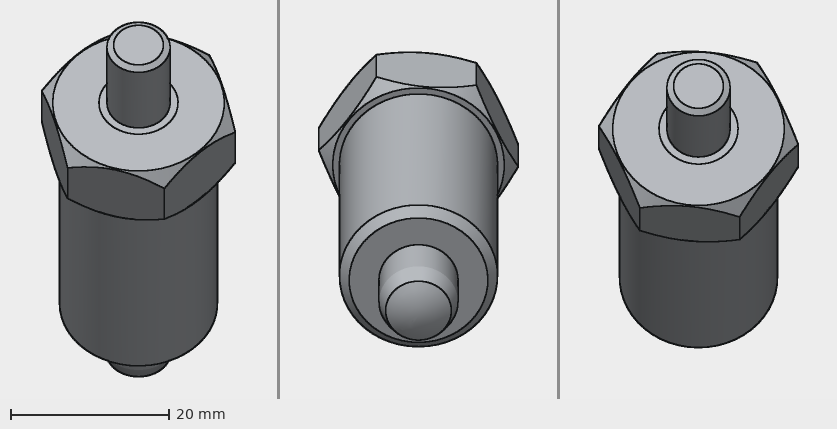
import cadquery as cq
import math

total_length = 65.0
stud_length = 12.0
hex_height = 10.0
pin_projection = 10.0

hex_across_flats = 22.0
hex_face_radius = 10.85
hex_chamfer_height = 1.8
barrel_diameter = 20.0
barrel_chamfer = 1.25

pin_diameter = 10.0
stud_diameter = 8.0
stud_chamfer_height = 0.45
stud_chamfer_width = 0.85
nose_length = 3.85
dome_height = 1.3
dome_radius = 4.15
nose_bulge = 0.05

hex_top = total_length - stud_length
hex_bottom = hex_top - hex_height
barrel_bottom = pin_projection
hex_across_corners = hex_across_flats / math.cos(math.pi / 6)


def make_hex_head():
    """Hexagon with its corners chamfered conically at both ends."""
    corner_radius = hex_across_corners / 2
    prism = (
        cq.Workplane("XY")
        .workplane(offset=hex_bottom)
        .polygon(6, hex_across_corners)
        .extrude(hex_height)
    )
    envelope = (
        cq.Workplane("XZ")
        .moveTo(0, hex_bottom)
        .lineTo(hex_face_radius, hex_bottom)
        .lineTo(corner_radius, hex_bottom + hex_chamfer_height)
        .lineTo(corner_radius, hex_top - hex_chamfer_height)
        .lineTo(hex_face_radius, hex_top)
        .lineTo(0, hex_top)
        .close()
        .revolve(360, (0, 0, 0), (0, 1, 0))
    )
    return prism.intersect(envelope)


def make_housing():
    """Hex head and round barrel with a through bore for the pin."""
    barrel = (
        cq.Workplane("XY")
        .workplane(offset=barrel_bottom)
        .circle(barrel_diameter / 2)
        .extrude(hex_bottom - barrel_bottom)
        .faces("<Z")
        .chamfer(barrel_chamfer)
    )
    bore = (
        cq.Workplane("XY")
        .workplane(offset=barrel_bottom)
        .circle(pin_diameter / 2)
        .extrude(hex_top - barrel_bottom)
    )
    return barrel.union(make_hex_head()).cut(bore)


def make_pin():
    """Plunger pin: domed, tapered nose below and a thinner stud above."""
    pin_radius = pin_diameter / 2
    stud_radius = stud_diameter / 2
    sphere_radius = (dome_radius**2 + dome_height**2) / (2 * dome_height)
    dome_middle_x = dome_radius / 2
    dome_middle_z = sphere_radius - math.sqrt(sphere_radius**2 - dome_middle_x**2)
    nose_middle = (
        (dome_radius + pin_radius) / 2 + nose_bulge,
        (dome_height + nose_length) / 2,
    )
    return (
        cq.Workplane("XZ")
        .threePointArc((dome_middle_x, dome_middle_z), (dome_radius, dome_height))
        .threePointArc(nose_middle, (pin_radius, nose_length))
        .lineTo(pin_radius, hex_top)
        .lineTo(stud_radius, hex_top)
        .lineTo(stud_radius, total_length - stud_chamfer_height)
        .lineTo(stud_radius - stud_chamfer_width, total_length)
        .lineTo(0, total_length)
        .close()
        .revolve(360, (0, 0, 0), (0, 1, 0))
    )


housing = make_housing()
pin = make_pin()

result = cq.Compound.makeCompound([housing.val(), pin.val()])